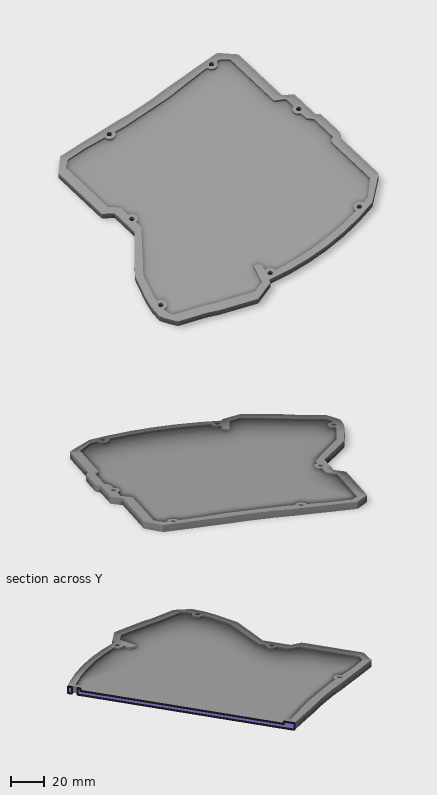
import cadquery as cq

THICKNESS = 4.5
POCKET_DEPTH = 1.5
HOLE_DIAMETER = 3.2
BOSS_DIAMETER = 7.3

TAB_TOP = 170.3
UPPER_EDGE = 168.0
UPPER_LEFT_EDGE = 161.8
LOWER_LEFT_EDGE = 23.2
LOWER_EDGE = 29.3

RIM_WIDTH = 6.1
NARROW_RIM_WIDTH = 5.5

LEFT_MIDDLE = (UPPER_LEFT_EDGE + LOWER_LEFT_EDGE) / 2

CHAMFER_END = 9.0
STEP_START = 49.0

OUTER_BOW_MIDDLE = (152.5, 110.7)
POCKET_BOW_MIDDLE = (148.0, 110.7)

OUTER_LEFT_BENDS = [
    (1.9, 9.2),
    (1.4, 16.7),
    (1.2, 20.0),
    (0.9, 34.2),
    (0.5, 41.7),
    (0.2, 58.0),
    (0.0, 60.3),
]
POCKET_LEFT_BENDS = [(7.3, 17.0), (6.1, 30.7), (5.0, 46.0), (5.0, 58.5)]

SCREW_CENTERS = [
    (4.5, 145.0),
    (63.2, 162.8),
    (142.4, 143.2),
    (146.6, 71.0),
    (123.6, 6.1),
    (63.2, 34.4),
    (6.0, 65.0),
]


def left_side(bends):
    """Points of the symmetric left side, from bottom to top."""
    lower = [(x, LEFT_MIDDLE - offset) for x, offset in reversed(bends)]
    upper = [(x, LEFT_MIDDLE + offset) for x, offset in bends]
    return lower + upper


def outline(upper_points, bow_middle, lower_points):
    """Closed outline: straight edges, one bowed right side, straight edges."""
    return (
        cq.Workplane("XY")
        .polyline(upper_points)
        .threePointArc(bow_middle, lower_points[0])
        .polyline(lower_points[1:], includeCurrent=True)
        .close()
    )


def plate():
    """Solid plate with the full outer outline."""
    upper_points = left_side(OUTER_LEFT_BENDS) + [
        (CHAMFER_END, UPPER_LEFT_EDGE),
        (STEP_START, UPPER_LEFT_EDGE),
        (53.1, UPPER_EDGE),
        (72.2, UPPER_EDGE),
        (74.8, TAB_TOP),
        (92.8, TAB_TOP),
        (94.9, UPPER_EDGE),
        (130.6, UPPER_EDGE),
        (144.8, 151.2),
    ]
    lower_points = [
        (150.2, 67.1),
        (152.2, 66.5),
        (157.0, 53.0),
        (148.7, 29.5),
        (147.3, 26.7),
        (145.5, 22.5),
        (139.6, 5.8),
        (132.5, 1.4),
        (129.6, 0.0),
        (121.6, 0.7),
        (113.6, 2.7),
        (98.5, 8.0),
        (96.5, 8.9),
        (83.6, 19.2),
        (71.5, LOWER_EDGE),
        (53.5, LOWER_EDGE),
        (STEP_START, LOWER_LEFT_EDGE),
        (CHAMFER_END, LOWER_LEFT_EDGE),
    ]
    return outline(upper_points, OUTER_BOW_MIDDLE, lower_points).extrude(THICKNESS)


def pocket():
    """Shallow volume inside the rim, leaving a round boss at every screw."""
    upper_points = left_side(POCKET_LEFT_BENDS) + [
        (CHAMFER_END, UPPER_LEFT_EDGE - RIM_WIDTH),
        (STEP_START, UPPER_LEFT_EDGE - RIM_WIDTH),
        (52.8, UPPER_EDGE - RIM_WIDTH),
        (71.4, UPPER_EDGE - RIM_WIDTH),
        (75.0, TAB_TOP - NARROW_RIM_WIDTH),
        (92.3, TAB_TOP - NARROW_RIM_WIDTH),
        (94.2, UPPER_EDGE - RIM_WIDTH),
        (130.1, UPPER_EDGE - RIM_WIDTH),
        (140.2, 151.5),
    ]
    lower_points = [
        (146.5, 69.8),
        (143.0, 69.8),
        (138.6, 71.0),
        (135.5, 67.1),
        (148.8, 62.7),
        (151.5, 55.0),
        (143.0, 31.5),
        (140.2, 24.9),
        (134.2, 7.3),
        (131.1, 5.5),
        (127.0, 5.5),
        (119.7, 6.6),
        (117.2, 6.6),
        (100.3, 12.3),
        (71.5, LOWER_EDGE + NARROW_RIM_WIDTH),
        (52.5, LOWER_EDGE + NARROW_RIM_WIDTH),
        (47.2, LOWER_LEFT_EDGE + RIM_WIDTH),
        (CHAMFER_END, LOWER_LEFT_EDGE + RIM_WIDTH),
    ]
    floor_height = THICKNESS - POCKET_DEPTH
    open_pocket = outline(upper_points, POCKET_BOW_MIDDLE, lower_points).extrude(POCKET_DEPTH)
    bosses = screw_cylinders(BOSS_DIAMETER, POCKET_DEPTH)
    return open_pocket.cut(bosses).translate((0, 0, floor_height))


def screw_cylinders(diameter, height):
    """One upright cylinder at every screw position."""
    return cq.Workplane("XY").pushPoints(SCREW_CENTERS).circle(diameter / 2).extrude(height)


result = plate().cut(pocket()).cut(screw_cylinders(HOLE_DIAMETER, THICKNESS))